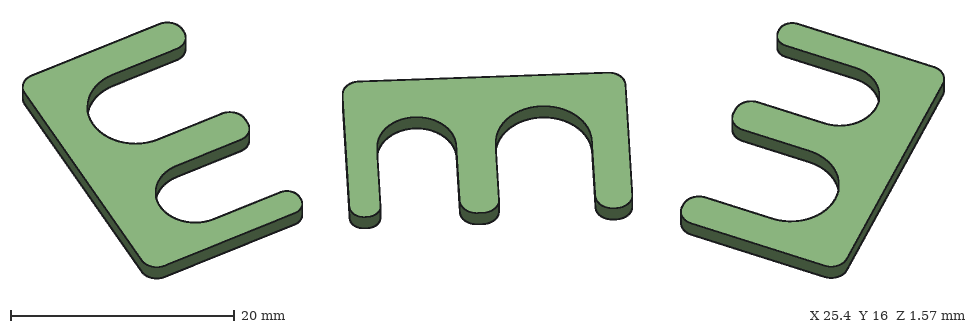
import cadquery as cq

length = 25.4
width = 16.0
thickness = 1.57
corner_radius = 1.52
narrow_tip_radius = 1.27

slot_center_y = width / 2
wide_slot_x = 7.65
wide_slot_radius = 4.32
narrow_slot_x = 19.05
narrow_slot_radius = 3.55


def open_slot(center_x, radius):
    """Slot cutter with a round bottom, running out through the back edge."""
    return (
        cq.Workplane("XY")
        .moveTo(center_x - radius, width)
        .lineTo(center_x - radius, slot_center_y)
        .threePointArc((center_x, slot_center_y - radius), (center_x + radius, slot_center_y))
        .lineTo(center_x + radius, width)
        .close()
        .extrude(thickness)
    )


plate = cq.Workplane("XY").box(length, width, thickness, centered=False)
plate = plate.cut(open_slot(wide_slot_x, wide_slot_radius))
plate = plate.cut(open_slot(narrow_slot_x, narrow_slot_radius))

fingers = [
    (0, wide_slot_x - wide_slot_radius, corner_radius),
    (wide_slot_x + wide_slot_radius, narrow_slot_x - narrow_slot_radius, corner_radius),
    (narrow_slot_x + narrow_slot_radius, length, narrow_tip_radius),
]
plate = plate.faces("<Y").edges("|Z").fillet(corner_radius)
for left, right, tip_radius in fingers:
    tip_face = cq.selectors.NearestToPointSelector(((left + right) / 2, width, thickness / 2))
    plate = plate.faces(tip_face).edges("|Z").fillet(tip_radius)

result = plate